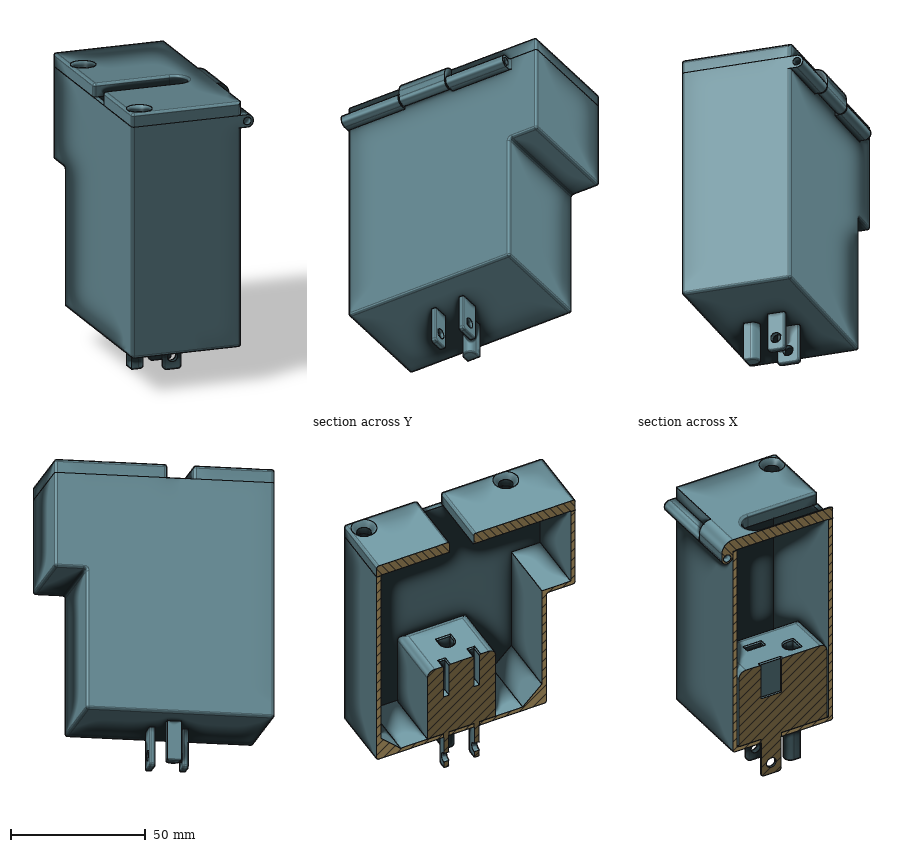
import cadquery as cq
import math

WIDTH = 83.0
DEPTH = 43.3
HEIGHT = 110.1
PRONG_LENGTH = 15.0
LID_THICKNESS = 5.2
SEAM_Z = HEIGHT - LID_THICKNESS
STEP_WIDTH = 12.0
STEP_Z = 68.8
EDGE_RADIUS = 1.0
WALL = 2.0
FLOOR_Z = PRONG_LENGTH + WALL
MID_X = (STEP_WIDTH + WIDTH) / 2

KNUCKLE_RADIUS = 2.4
HINGE_HOLE_DIAMETER = 3.0
HINGE_Y = DEPTH + KNUCKLE_RADIUS
HINGE_Z = SEAM_Z - KNUCKLE_RADIUS
OVERHANG = 2 * KNUCKLE_RADIUS
LID_LUG_WIDTH = 20.0
HINGE_GAP = 0.4

SLOT_WIDTH = 10.0
SLOT_END_Y = 30.2
SCREW_SPACING = 59.2
SCREW_Y = 5.1
SCREW_DIAMETER = 5.4
SCREW_HEAD_DIAMETER = 9.6
HEAD_ANGLE = 90

CORNER_SLOPE = 8.0

PLUG_CLEARANCE = 0.5
PLUG_WIDTH = 28.6
PLUG_HEIGHT = 33.0
PLUG_RADIUS = 3.1
SOCKET_DEPTH = PRONG_LENGTH
SOCKET_CHAMFER = 0.5
CHAMFER_ANGLE = 45
BLADE_SPACING = 12.7
BLADE_THICKNESS = 2.2
WIDE_BLADE = 8.7
NARROW_BLADE = 6.9
BLADE_Y = 26.6
BLADE_CORNER_RADIUS = 1.3
PRONG_EDGE_RADIUS = 0.5
BLADE_HOLE_DIAMETER = 4.0
BLADE_HOLE_Z = 5.0
GROUND_DIAMETER = 5.4
GROUND_FRONT_Y = 12.1
GROUND_CENTRE_Y = GROUND_FRONT_Y + GROUND_DIAMETER / 2


def box(x0, x1, y0, y1, z0, z1):
    return cq.Workplane("XY").box(x1 - x0, y1 - y0, z1 - z0, centered=False).translate((x0, y0, z0))


def stepped_block(inset, bottom_z, top_z):
    """The stepped outline moved inward by `inset` on its sides and step."""
    return (
        cq.Workplane("XZ", origin=(0, inset, 0))
        .moveTo(STEP_WIDTH + inset, bottom_z)
        .lineTo(WIDTH - inset, bottom_z)
        .lineTo(WIDTH - inset, top_z)
        .lineTo(inset, top_z)
        .lineTo(inset, STEP_Z + inset)
        .lineTo(STEP_WIDTH + inset, STEP_Z + inset)
        .close()
        .extrude(-(DEPTH - 2 * inset))
    )


def hinge_hole():
    return (
        cq.Workplane("YZ")
        .center(HINGE_Y, HINGE_Z)
        .circle(HINGE_HOLE_DIAMETER / 2)
        .extrude(WIDTH)
    )


def make_knuckle(x0, x1):
    """Housing knuckle: flat on top, half round on the outside."""
    rim = HINGE_Y + KNUCKLE_RADIUS
    return (
        cq.Workplane("YZ", origin=(x0, 0, 0))
        .moveTo(DEPTH - EDGE_RADIUS, SEAM_Z)
        .lineTo(HINGE_Y, SEAM_Z)
        .threePointArc((rim, HINGE_Z), (HINGE_Y, HINGE_Z - KNUCKLE_RADIUS))
        .lineTo(DEPTH - EDGE_RADIUS, HINGE_Z - KNUCKLE_RADIUS)
        .close()
        .extrude(x1 - x0)
    )


def knuckle_fillet():
    """Concave fillet between the stepped-side end of the knuckle and the back of the box."""
    corner_y = DEPTH + EDGE_RADIUS
    left = STEP_WIDTH - EDGE_RADIUS
    height = 2 * KNUCKLE_RADIUS
    web = box(left, STEP_WIDTH, DEPTH, corner_y, SEAM_Z - height, SEAM_Z)
    hollow = cq.Workplane("XY", origin=(left, corner_y, SEAM_Z)).circle(EDGE_RADIUS).extrude(-height)
    return web.cut(hollow)


def blade_blank(side, width, z0, z1):
    return (
        cq.Workplane("XY", origin=(MID_X + side * BLADE_SPACING / 2, BLADE_Y, z0))
        .rect(BLADE_THICKNESS, width)
        .extrude(z1 - z0)
    )


def ground_blank(z0, z1):
    """D-shaped bar, flat toward the front and round toward the back."""
    radius = GROUND_DIAMETER / 2
    return (
        cq.Workplane("XY", origin=(MID_X, GROUND_CENTRE_Y, z0))
        .moveTo(-radius, -radius)
        .lineTo(radius, -radius)
        .lineTo(radius, 0)
        .threePointArc((0, radius), (-radius, 0))
        .close()
        .extrude(z1 - z0)
    )


def prong_blanks(z0, z1):
    """The wide blade, the narrow blade and the ground pin, without rounding."""
    return [
        blade_blank(-1, WIDE_BLADE, z0, z1),
        blade_blank(1, NARROW_BLADE, z0, z1),
        ground_blank(z0, z1),
    ]


def make_prongs():
    *blades, ground = prong_blanks(0, FLOOR_Z)
    prongs = ground.faces("<Z").edges().fillet(PRONG_EDGE_RADIUS)
    for blade in blades:
        blade = blade.faces("<Z").edges("|X").fillet(BLADE_CORNER_RADIUS)
        prongs = prongs.union(blade.faces("<X or >X").edges("not >Z").fillet(PRONG_EDGE_RADIUS))
    blade_holes = (
        cq.Workplane("YZ")
        .center(BLADE_Y, BLADE_HOLE_Z)
        .circle(BLADE_HOLE_DIAMETER / 2)
        .extrude(WIDTH)
    )
    return prongs.cut(blade_holes)


def make_plug(prongs):
    front = WALL + PLUG_CLEARANCE
    back = DEPTH - WALL - PLUG_CLEARANCE
    top_z = FLOOR_Z + PLUG_HEIGHT
    left = MID_X - PLUG_WIDTH / 2
    plug = box(left, left + PLUG_WIDTH, front, back, FLOOR_Z, top_z)
    plug = plug.faces(">Z").edges().fillet(PLUG_RADIUS)
    for socket in prong_blanks(top_z - SOCKET_DEPTH, top_z):
        mouth = socket.faces(">Z").wires().toPending().offset2D(SOCKET_CHAMFER, "intersection")
        plug = plug.cut(socket).cut(mouth.extrude(-SOCKET_CHAMFER, taper=CHAMFER_ANGLE, combine=False))
    return plug.union(prongs)


def corner_slope(side_x, inward):
    return (
        cq.Workplane("XZ", origin=(0, WALL, 0))
        .moveTo(side_x, FLOOR_Z)
        .lineTo(side_x + inward * CORNER_SLOPE, FLOOR_Z)
        .lineTo(side_x, FLOOR_Z + CORNER_SLOPE)
        .close()
        .extrude(-(DEPTH - 2 * WALL))
    )


def make_housing(prongs):
    outside = stepped_block(0, PRONG_LENGTH, SEAM_Z)
    outside = outside.edges("not >Z").fillet(EDGE_RADIUS)
    housing = outside.cut(stepped_block(WALL, FLOOR_Z, SEAM_Z))
    housing = housing.union(corner_slope(STEP_WIDTH + WALL, 1))
    housing = housing.union(corner_slope(WIDTH - WALL, -1))
    lug_reach = LID_LUG_WIDTH / 2 + HINGE_GAP
    housing = housing.union(make_knuckle(STEP_WIDTH, MID_X - lug_reach))
    housing = housing.union(make_knuckle(MID_X + lug_reach, WIDTH))
    housing = housing.union(knuckle_fillet())
    return housing.cut(hinge_hole()).cut(prongs)


def lid_lug():
    """Lid hinge lug: a quarter round from the top edge, then a half round about the pin."""
    rim = DEPTH + OVERHANG
    diagonal = OVERHANG * math.sqrt(0.5)
    shoulder_z = HEIGHT - OVERHANG
    return (
        cq.Workplane("YZ", origin=(MID_X - LID_LUG_WIDTH / 2, 0, 0))
        .moveTo(DEPTH, HEIGHT)
        .threePointArc((DEPTH + diagonal, shoulder_z + diagonal), (rim, shoulder_z))
        .lineTo(rim, HINGE_Z)
        .threePointArc((HINGE_Y, HINGE_Z - KNUCKLE_RADIUS), (DEPTH, HINGE_Z))
        .close()
        .extrude(LID_LUG_WIDTH)
    )


def cut_slot(lid):
    half = SLOT_WIDTH / 2
    slot = (
        cq.Workplane("XY", origin=(MID_X, 0, SEAM_Z))
        .moveTo(-half, 0)
        .lineTo(half, 0)
        .lineTo(half, SLOT_END_Y)
        .threePointArc((0, SLOT_END_Y + half), (-half, SLOT_END_Y))
        .close()
        .extrude(LID_THICKNESS)
    )
    return lid.cut(slot)


def make_lid():
    lid = cut_slot(box(0, WIDTH, 0, DEPTH, SEAM_Z, HEIGHT))
    outer_corners = lid.edges("|Z").edges("<Y or >Y")
    top_rim = lid.faces(">Z").edges("not >Y")
    lid = lid.newObject(outer_corners.vals() + top_rim.vals()).fillet(EDGE_RADIUS)
    lid = lid.union(lid_lug()).cut(hinge_hole())
    return (
        lid.faces(">Z")
        .workplane(origin=(MID_X, SCREW_Y, HEIGHT))
        .pushPoints([(-SCREW_SPACING / 2, 0), (SCREW_SPACING / 2, 0)])
        .cskHole(SCREW_DIAMETER, SCREW_HEAD_DIAMETER, HEAD_ANGLE)
    )


prong_set = make_prongs()
housing = make_housing(prong_set)
lid = make_lid()
plug = make_plug(prong_set)

bodies = [housing, lid, plug]
result = cq.Compound.makeCompound([body.solids().val() for body in bodies])